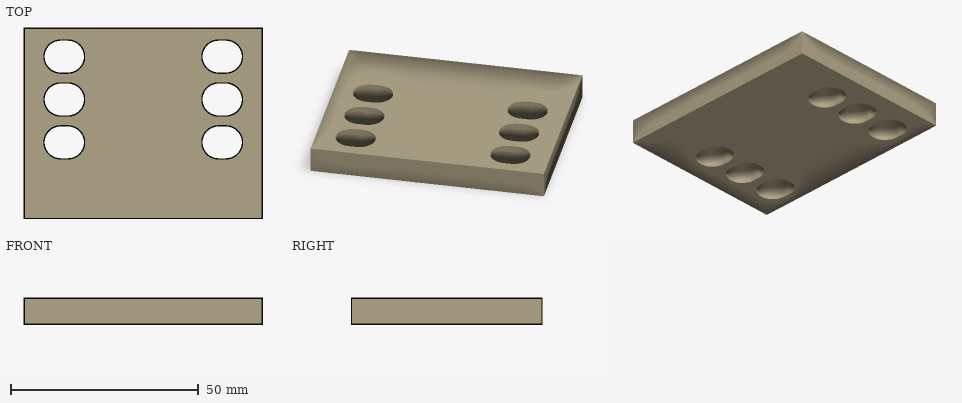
import cadquery as cq

length = 63.5
width = 50.8
thickness = 7.0

slot_width = 8.75
slot_travel = 2.0
slot_length = slot_width + slot_travel
column_spacing = 42.08
row_pitch = 11.43
row_count = 3
top_row_inset = 7.62


def make_plate():
    return cq.Workplane("XY").box(length, width, thickness, centered=(True, True, False))


def slot_centres():
    first_row_y = width / 2 - top_row_inset
    return [
        (side * column_spacing / 2, first_row_y - row * row_pitch)
        for side in (-1, 1)
        for row in range(row_count)
    ]


def cut_slots(plate):
    slots = (
        cq.Workplane("XY")
        .pushPoints(slot_centres())
        .slot2D(slot_length, slot_width)
        .extrude(thickness)
    )
    return plate.cut(slots)


result = cut_slots(make_plate())